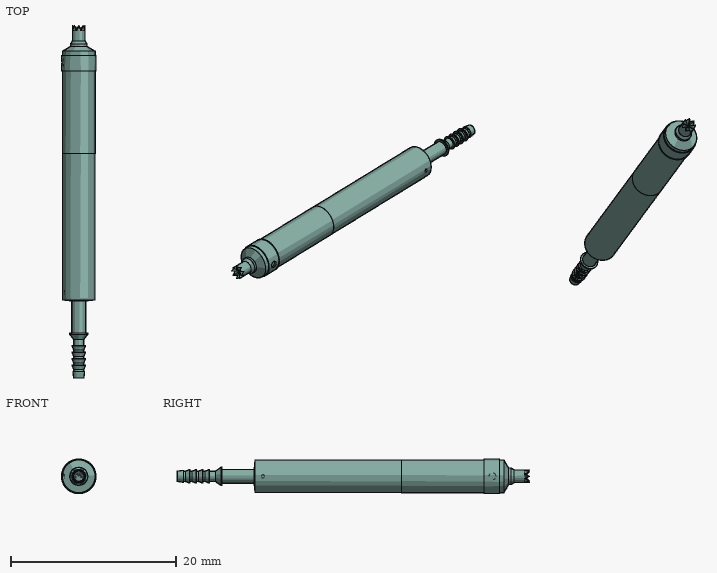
import cadquery as cq
import math


plunger_radius = 0.77
crown_front = 5.5
plunger_length = 1.85
tooth_count = 8
tooth_depth = 0.6
guide_radius = 1.02
guide_cone_length = 0.38
guide_length = 0.3

head_radius = 2.0
head_cone_length = 0.58
head_land_length = 0.54
collar_radius = 2.1

sleeve_radius = 2.0
sleeve_length = 10.0
barrel_radius = 1.99
barrel_rear = -27.75
barrel_edge_radius = 1.98
barrel_edge_length = 0.2
end_cone_length = 0.12

shaft_radius = 0.85
shaft_length = 3.88
flange_radius = 1.1
flange_length = 0.15
flange_cone_length = 0.65
neck_radius = 0.63
tail_rear = -37.2
barb_radius = 0.83
barb_count = 4
barb_pitch = 0.79
barb_land_length = 0.06
barb_cone_length = 0.5
first_barb = -33.24
tip_radius = 0.72
tip_land_length = 0.15
tip_front = first_barb - barb_count * barb_pitch

collar_dimple_radius = 0.42
collar_dimple_y = 1.02
barrel_dimple_radius = 0.2
barrel_dimple_y = -26.79
dimple_depth = 0.25


def frustum(front, rear, front_radius, rear_radius):
    """Solid of revolution about Y between two end radii."""
    return (
        cq.Workplane("YZ")
        .polyline([(front, 0), (front, front_radius), (rear, rear_radius), (rear, 0)])
        .close()
        .revolve(360, (0, 0, 0), (1, 0, 0))
    )


def cylinder(front, rear, radius):
    return frustum(front, rear, radius, radius)


def make_plunger():
    guide_cone_front = crown_front - plunger_length
    guide_front = guide_cone_front - guide_cone_length
    guide_rear = guide_front - guide_length
    plunger = cylinder(crown_front, guide_cone_front, plunger_radius)
    plunger = plunger.union(frustum(guide_cone_front, guide_front, plunger_radius, guide_radius))
    plunger = plunger.union(cylinder(guide_front, guide_rear, guide_radius))
    return cut_crown(plunger), guide_rear


def cut_crown(plunger):
    """V grooves across the tip, just wide enough to leave sharp teeth on the rim."""
    tooth_angle = 360 / tooth_count
    groove_half_width = plunger_radius * math.sin(math.radians(tooth_angle / 2))
    groove = (
        cq.Workplane("XY")
        .moveTo(-groove_half_width, crown_front)
        .lineTo(0, crown_front - tooth_depth)
        .lineTo(groove_half_width, crown_front)
        .close()
        .extrude(2 * plunger_radius, both=True)
    )
    for index in range(tooth_count // 2):
        angle = (index + 0.5) * tooth_angle
        plunger = plunger.cut(groove.rotate((0, 0, 0), (0, 1, 0), angle))
    return plunger


def make_barrel(head_front):
    head_land_front = head_front - head_cone_length
    collar_front = head_land_front - head_land_length
    edge_front = barrel_rear + barrel_edge_length
    barrel = frustum(head_front, head_land_front, guide_radius, head_radius)
    barrel = barrel.union(cylinder(head_land_front, collar_front, head_radius))
    barrel = barrel.union(cylinder(collar_front, 0, collar_radius))
    barrel = barrel.union(cylinder(0, -sleeve_length, sleeve_radius))
    barrel = barrel.union(cylinder(-sleeve_length, edge_front, barrel_radius))
    barrel = barrel.union(frustum(edge_front, barrel_rear, barrel_radius, barrel_edge_radius))
    barrel = barrel.union(
        frustum(barrel_rear, barrel_rear - end_cone_length, barrel_edge_radius, shaft_radius)
    )
    return barrel


def make_tail():
    shaft_front = barrel_rear - end_cone_length
    flange_front = shaft_front - shaft_length
    flange_rear = flange_front - flange_length
    flange_cone_rear = flange_rear - flange_cone_length
    tail = cylinder(shaft_front, flange_front, shaft_radius)
    tail = tail.union(cylinder(flange_front, flange_rear, flange_radius))
    tail = tail.union(frustum(flange_rear, flange_cone_rear, flange_radius, neck_radius))
    tail = tail.union(cylinder(flange_cone_rear, tip_front, neck_radius))
    for index in range(barb_count):
        shoulder = first_barb - index * barb_pitch
        land_rear = shoulder - barb_land_length
        tail = tail.union(cylinder(shoulder, land_rear, barb_radius))
        tail = tail.union(frustum(land_rear, land_rear - barb_cone_length, barb_radius, neck_radius))
    tip_land_rear = tip_front - tip_land_length
    tail = tail.union(cylinder(tip_front, tip_land_rear, tip_radius))
    return tail.union(frustum(tip_land_rear, tail_rear, tip_radius, neck_radius))


def dimple(y, hole_radius, surface_radius):
    """Cutter for a flat-bottomed round dimple sunk along +X into the -X side."""
    return (
        cq.Workplane("YZ", origin=(-surface_radius - dimple_depth, 0, 0))
        .center(y, 0)
        .circle(hole_radius)
        .extrude(2 * dimple_depth)
    )


plunger, plunger_rear = make_plunger()
result = plunger.union(make_barrel(plunger_rear)).union(make_tail())
result = result.cut(dimple(collar_dimple_y, collar_dimple_radius, collar_radius))
result = result.cut(dimple(barrel_dimple_y, barrel_dimple_radius, barrel_radius))